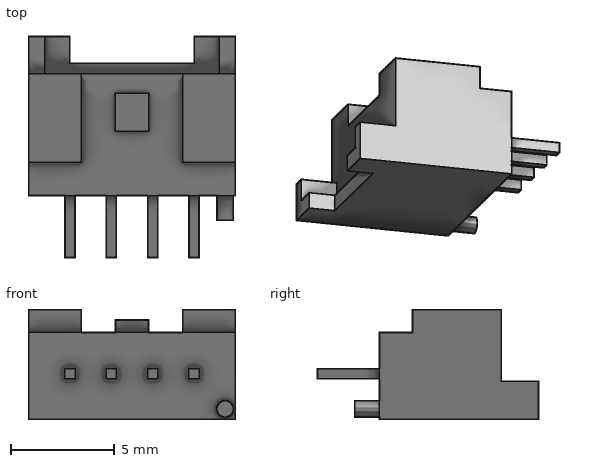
import cadquery as cq

width = 10.0
depth = 7.7
roof_height = 4.2
roof_depth = 5.9

shoulder_width = 2.55
shoulder_front = 1.6
shoulder_top = 5.3

side_wall = 0.78
side_wall_height = 1.85
floor_thickness = side_wall
notch_width = 6.0
notch_front = 6.4

pad_width = 1.6
pad_length = 1.85
pad_front = 3.1
pad_top = 4.8

pin_count = 4
pin_pitch = 2.0
pin_size = 0.5
pin_length = 3.0
pin_height = 2.2

peg_diameter = 0.8
peg_length = 1.2
peg_edge_distance = 0.5
peg_height = 0.5


def block(x_range, y_range, z_range):
    """Axis-aligned box spanning the given (low, high) ranges."""
    sizes = [high - low for low, high in (x_range, y_range, z_range)]
    corner = (x_range[0], y_range[0], z_range[0])
    return cq.Workplane("XY").box(*sizes, centered=False).translate(corner)


def centred(size, middle=0.0):
    """(low, high) range of the given size around a middle value."""
    return (middle - size / 2, middle + size / 2)


def make_housing():
    """Main block with its two shoulders and the latch pad."""
    housing = block(centred(width), (0, roof_depth), (0, roof_height))
    for side in (-1, 1):
        shoulder_x = centred(shoulder_width, side * (width - shoulder_width) / 2)
        housing = housing.union(block(shoulder_x, (shoulder_front, roof_depth), (0, shoulder_top)))
    pad_y = (pad_front, pad_front + pad_length)
    return housing.union(block(centred(pad_width), pad_y, (0, pad_top)))


def make_apron():
    """Floor with low side walls and a wide notch in its rear edge."""
    apron_y = (roof_depth, depth)
    apron = block(centred(width), apron_y, (0, side_wall_height))
    trough = block(centred(width - 2 * side_wall), apron_y, (floor_thickness, side_wall_height))
    notch = block(centred(notch_width), (notch_front, depth), (0, side_wall_height))
    return apron.cut(trough).cut(notch)


def make_pin(index):
    """Square pin standing out of the mounting face."""
    pin_x = (index - (pin_count - 1) / 2) * pin_pitch
    return block(centred(pin_size, pin_x), (-pin_length, 0), centred(pin_size, pin_height))


def make_peg():
    """Round peg standing out of the mounting face near the lower +X corner."""
    peg_x = width / 2 - peg_edge_distance
    return (
        cq.Workplane("XZ", origin=(peg_x, 0, peg_height))
        .circle(peg_diameter / 2)
        .extrude(peg_length)
    )


result = make_housing().union(make_apron()).union(make_peg())
for pin_index in range(pin_count):
    result = result.union(make_pin(pin_index))